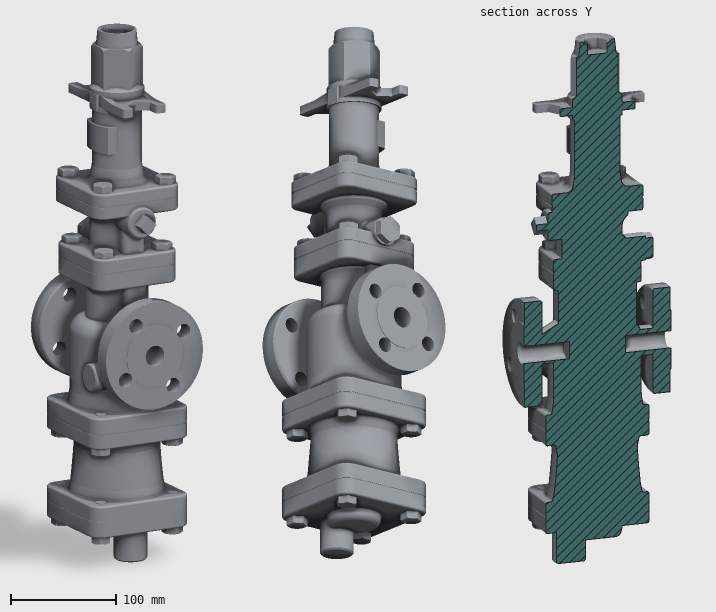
import cadquery as cq
import math


TOTAL_HEIGHT = 515.0

DRAIN_JOINT = (31.0, 47.0, 62.5)
BODY_JOINT = (118.0, 133.0, 149.0)
BONNET_JOINT = (271.0, 288.5, 302.5)
SPRING_JOINT = (342.0, 355.0, 367.0)
LARGE_JOINT_WIDTH = 105.0
BONNET_JOINT_WIDTH = 89.0
SPRING_JOINT_WIDTH = 92.5
JOINT_CORNER_RADIUS = 13.5
JOINT_EDGE_FILLET = 2.0
GASKET_THICKNESS = 1.5
DRAIN_GASKET_THICKNESS = 0.5
GASKET_INSET = 0.5

BOLT_FLATS = 17.5
BOLT_CORNERS = BOLT_FLATS / math.cos(math.pi / 6)
BOLT_CHAMFER_HEIGHT = 0.75
LARGE_HEAD_HEIGHT = 7.0
BONNET_HEAD_HEIGHT = 6.0
LARGE_BOLT_OFFSET = 38.5
BONNET_BOLT_OFFSET = 31.5
SPRING_BOLT_OFFSET = 34.0
STUD_DIAMETER = 10.0
STUD_HEIGHT = 1.0

DRAIN_DIAMETER = 32.0
DRAIN_X = 27.0
DRAIN_CHAMFER = 1.5
DOME_TOP_RADIUS = 26.5
DOME_TAPER_RADIUS = 25.0
DOME_TAPER_END = 27.0
DOME_FLAT_RADIUS = 19.0
DOME_BOTTOM = 20.5

FOOT_TAPER = 1.5
FOOT_FILLET = 2.0
CHAMBER_FOOT_HEIGHT = 10.0
BODY_FOOT_HEIGHT = 14.5

CHAMBER_BOTTOM_RADIUS = 44.5
CHAMBER_TOP_RADIUS = 41.0

BODY_RADIUS = 90.0 / 2
BODY_DOME_START = 219.0
NECK_RADIUS = 60.0 / 2
BODY_DOME_RADIUS = BODY_RADIUS - NECK_RADIUS
NECK_FLARE_RADIUS = 32.5
NECK_FLARE_START = 260.5
NECK_FLARE_END = 269.0

RIB_WIDTH = 23.0
RIB_EDGE_RADIUS = 5.0
NECK_RIB_REACH = 80.0 / 2
BONNET_RIB_REACH = 36.0

FLANGE_DIAMETER = 105.0
FLANGE_BACK_X = 56.0
FLANGE_FACE_X = 74.0
FLANGE_CHAMFER = 1.5
RAISED_FACE_DIAMETER = 60.0
OVERALL_WIDTH = 150.0
PORT_Z = 210.5
PORT_BORE = 20.0
PORT_BORE_DEPTH = 46.5
INLET_DIAMETER = 29.0
OUTLET_DIAMETER = 24.5
FLANGE_HOLE_DIAMETER = 14.5
FLANGE_HOLE_CIRCLE = 74.5
FLANGE_HOLE_ANGLE = 32.5
RISER_INNER = (27.0, 233.0)
RISER_OUTER = (54.5, 218.0)

PAD_DIAMETER = 27.0
PAD_X = 29.5
PAD_Z = 184.5
PAD_FACE_Y = -46.5
PAD_CHAMFER = 1.0

BONNET_RADIUS = 52.0 / 2
BONNET_FOOT_FLARE = 4.0
BONNET_BLEND_START = 328.0
BONNET_BLEND_END = 334.0
BONNET_BLEND_WIDTH = 1.5
BONNET_CONE_END = 339.5
BONNET_CONE_RADIUS = 32.0

SENSING_Z = 304.0
SENSING_DIAMETER = 27.0
SENSING_FOOT_DIAMETER = 32.0
SENSING_FOOT_X = 29.5
SENSING_CAP_X = 49.0
SENSING_END_X = 56.5
SENSING_CAP_CHAMFER = 1.0

PLUG_Z = 335.5
PLUG_BOSS_DIAMETER = 30.5
PLUG_BOSS_END_X = 50.5
PLUG_BOSS_CHAMFER = 1.5
PLUG_END_X = 62.0
PLUG_DIAGONAL = 18.0

HOUSING_RADIUS = 48.0 / 2
HOUSING_FOOT_HEIGHT = 15.5
HOUSING_FOOT_FILLET = 6.0
PLATE_HALF_WIDTH = 21.0
PLATE_BACK_Y = -11.0
PLATE_SIDE_Y = -21.0
PLATE_FRONT_Y = -26.5
PLATE_BOTTOM = 398.5
PLATE_TOP = 425.0

COLLAR_RADIUS = 52.0 / 2
COLLAR_BOTTOM = 438.5
COLLAR_TOP = 459.0
COLLAR_CONE_TOP = 462.5
CAP_FLATS = 43.0
CAP_CORNERS = CAP_FLATS / math.cos(math.pi / 6)
CAP_TOP = 500.5
CAP_CHAMFER = 2.5
STUB_BASE_RADIUS = 20.0
STUB_TOP_RADIUS = 18.5
SOCKET_CORNERS = 26.0
SOCKET_DEPTH = 13.5
SOCKET_LEAD_IN_RADIUS = 16.5
SOCKET_LEAD_IN_DEPTH = 3.0

HANDLE_LENGTH = 111.0
HANDLE_WIDTH = 46.5
HANDLE_BOTTOM = 443.0
HANDLE_TOP = 451.0
HANDLE_CORNER_RADIUS = 2.5
NOTCH_HALF_WIDTH = 12.5
NOTCH_SHOULDER_X = 43.0
NOTCH_APEX_X = 34.5
RAMP_OUTER_X = 32.0
RAMP_INNER_X = 6.5
RAMP_INNER_Y = 17.0
RAMP_TOP = 455.0
KEY_WIDTH = 14.0
KEY_BOTTOM = 439.5


def revolve_z(outline):
    """Turn a closed half outline, drawn as radius and height, about the Z axis."""
    return outline.revolve(360, (0, 0, 0), (0, 1, 0))


def cylinder_z(radius, bottom, top):
    return cq.Workplane("XY").workplane(offset=bottom).circle(radius).extrude(top - bottom)


def plane_x(x, z):
    """Plane facing +X whose local axes are Y and Z."""
    return cq.Workplane(cq.Plane(origin=(x, 0, z), xDir=(0, 1, 0), normal=(1, 0, 0)))


def cylinder_x(diameter, x_start, x_end, z):
    return plane_x(x_start, z).circle(diameter / 2).extrude(x_end - x_start)


def square_plate(width, bottom, top):
    return (
        cq.Workplane("XY")
        .workplane(offset=bottom)
        .rect(width, width)
        .extrude(top - bottom)
        .edges("|Z")
        .fillet(JOINT_CORNER_RADIUS)
    )


def flange_joint(heights, width, gasket):
    """Two square flanges with a slightly recessed gasket between them."""
    bottom, middle, top = heights
    lower = square_plate(width, bottom, middle - gasket / 2)
    lower = lower.faces("<Z").edges().fillet(JOINT_EDGE_FILLET)
    upper = square_plate(width, middle + gasket / 2, top)
    upper = upper.faces(">Z").edges().fillet(JOINT_EDGE_FILLET)
    seal = square_plate(width - 2 * GASKET_INSET, middle - gasket, middle + gasket)
    return lower.union(upper).union(seal)


def bolt_head(height):
    """Hexagon head standing on Z = 0 with its outer corners chamfered."""
    hexagon = cq.Workplane("XY").polygon(6, BOLT_CORNERS).extrude(height)
    turned = (
        cq.Workplane("XY")
        .circle(BOLT_CORNERS / 2)
        .extrude(height)
        .faces(">Z")
        .chamfer(BOLT_CHAMFER_HEIGHT, (BOLT_CORNERS - BOLT_FLATS) / 2)
    )
    return hexagon.intersect(turned)


def bolt_circle(offset, seat_z, height, upward):
    """Four heads on a square pattern, each turned a quarter from the one before."""
    head = bolt_head(height)
    if not upward:
        head = head.mirror("XY")
    first = head.translate((offset, offset, seat_z))
    heads = first
    for quarter in range(1, 4):
        heads = heads.union(first.rotate((0, 0, 0), (0, 0, 1), 90 * quarter))
    return heads


def stud_ends(offset, top):
    return (
        cq.Workplane("XY")
        .workplane(offset=top - STUD_HEIGHT)
        .rect(2 * offset, 2 * offset, forConstruction=True)
        .vertices()
        .circle(STUD_DIAMETER / 2)
        .extrude(2 * STUD_HEIGHT)
    )


def rib(reach, barrel_radius, bottom, top):
    """Upright rib from the axis to X = reach, rounded outside and filleted to the barrel."""
    half = RIB_WIDTH / 2
    round_radius = RIB_EDGE_RADIUS
    centre_y = half + round_radius
    centre_x = math.sqrt((barrel_radius + round_radius) ** 2 - centre_y**2)
    scale = barrel_radius / (barrel_radius + round_radius)
    touch_x = centre_x * scale
    touch_y = centre_y * scale
    return (
        cq.Workplane("XY")
        .workplane(offset=bottom)
        .moveTo(0, -touch_y)
        .lineTo(touch_x, -touch_y)
        .radiusArc((centre_x, -half), round_radius)
        .lineTo(reach - round_radius, -half)
        .radiusArc((reach, -half + round_radius), -round_radius)
        .lineTo(reach, half - round_radius)
        .radiusArc((reach - round_radius, half), -round_radius)
        .lineTo(centre_x, half)
        .radiusArc((touch_x, touch_y), round_radius)
        .lineTo(0, touch_y)
        .close()
        .extrude(top - bottom)
    )


def drain_outlet():
    joint_bottom = DRAIN_JOINT[0]
    dome = revolve_z(
        cq.Workplane("XZ")
        .moveTo(0, joint_bottom)
        .lineTo(DOME_TOP_RADIUS, joint_bottom)
        .lineTo(DOME_TAPER_RADIUS, DOME_TAPER_END)
        .radiusArc((DOME_FLAT_RADIUS, DOME_BOTTOM), DOME_TAPER_END - DOME_BOTTOM)
        .lineTo(0, DOME_BOTTOM)
        .close()
    )
    pipe = cylinder_z(DRAIN_DIAMETER / 2, 0, joint_bottom).faces("<Z").chamfer(DRAIN_CHAMFER)
    return dome.union(pipe.translate((DRAIN_X, 0, 0)))


def trap_chamber():
    bottom = DRAIN_JOINT[2]
    top = BODY_JOINT[0]
    lower_taper = CHAMBER_BOTTOM_RADIUS + FOOT_TAPER
    upper_taper = CHAMBER_TOP_RADIUS + FOOT_TAPER
    return revolve_z(
        cq.Workplane("XZ")
        .moveTo(0, bottom)
        .lineTo(lower_taper + FOOT_FILLET, bottom)
        .radiusArc((lower_taper, bottom + FOOT_FILLET), FOOT_FILLET)
        .lineTo(CHAMBER_BOTTOM_RADIUS, bottom + CHAMBER_FOOT_HEIGHT)
        .lineTo(CHAMBER_TOP_RADIUS, top - CHAMBER_FOOT_HEIGHT)
        .lineTo(upper_taper, top - FOOT_FILLET)
        .radiusArc((upper_taper + FOOT_FILLET, top), FOOT_FILLET)
        .lineTo(0, top)
        .close()
    )


def main_body():
    bottom = BODY_JOINT[2]
    taper_radius = BODY_RADIUS + FOOT_TAPER
    flare_width = NECK_FLARE_RADIUS - NECK_RADIUS
    flare_height = NECK_FLARE_END - NECK_FLARE_START
    flare_arc = (flare_height**2 + flare_width**2) / (2 * flare_width)
    shell = revolve_z(
        cq.Workplane("XZ")
        .moveTo(0, bottom)
        .lineTo(taper_radius + FOOT_FILLET, bottom)
        .radiusArc((taper_radius, bottom + FOOT_FILLET), FOOT_FILLET)
        .lineTo(BODY_RADIUS, bottom + BODY_FOOT_HEIGHT)
        .lineTo(BODY_RADIUS, BODY_DOME_START)
        .radiusArc((NECK_RADIUS, BODY_DOME_START + BODY_DOME_RADIUS), -BODY_DOME_RADIUS)
        .lineTo(NECK_RADIUS, NECK_FLARE_START)
        .radiusArc((NECK_FLARE_RADIUS, NECK_FLARE_END), flare_arc)
        .lineTo(NECK_FLARE_RADIUS, BONNET_JOINT[0])
        .lineTo(0, BONNET_JOINT[0])
        .close()
    )
    pad = (
        cq.Workplane("XZ", origin=(PAD_X, 0, PAD_Z))
        .circle(PAD_DIAMETER / 2)
        .extrude(-PAD_FACE_Y)
        .faces("<Y")
        .chamfer(PAD_CHAMFER)
    )
    neck_rib = rib(NECK_RIB_REACH, NECK_RADIUS, BODY_DOME_START, BONNET_JOINT[0])
    return shell.union(pad).union(neck_rib).union(neck_rib.mirror("YZ"))


def side_flange(side):
    disc = cylinder_x(FLANGE_DIAMETER, FLANGE_BACK_X, FLANGE_FACE_X, PORT_Z)
    disc = disc.faces("<X").chamfer(FLANGE_CHAMFER)
    face = cylinder_x(RAISED_FACE_DIAMETER, FLANGE_BACK_X, OVERALL_WIDTH / 2, PORT_Z)
    holes = (
        plane_x(FLANGE_BACK_X, PORT_Z)
        .polarArray(FLANGE_HOLE_CIRCLE / 2, FLANGE_HOLE_ANGLE, 360, 4)
        .circle(FLANGE_HOLE_DIAMETER / 2)
        .extrude(FLANGE_FACE_X - FLANGE_BACK_X)
    )
    flange = disc.union(face).cut(holes)
    return flange if side > 0 else flange.mirror("YZ")


def outlet_riser():
    """Slanted pipe from the outlet flange up to the shoulder of the body."""
    run = RISER_OUTER[0] - RISER_INNER[0]
    drop = RISER_OUTER[1] - RISER_INNER[1]
    start = cq.Plane(origin=(RISER_INNER[0], 0, RISER_INNER[1]), xDir=(0, 1, 0), normal=(run, 0, drop))
    return cq.Workplane(start).circle(OUTLET_DIAMETER / 2).extrude(math.hypot(run, drop))


def port_bore(side):
    outer = OVERALL_WIDTH / 2
    bore = cylinder_x(PORT_BORE, outer - PORT_BORE_DEPTH, outer, PORT_Z)
    return bore if side > 0 else bore.mirror("YZ")


def bonnet():
    bottom = BONNET_JOINT[2]
    top = SPRING_JOINT[0]
    blend_height = BONNET_BLEND_END - BONNET_BLEND_START
    blend_arc = (blend_height**2 + BONNET_BLEND_WIDTH**2) / (2 * BONNET_BLEND_WIDTH)
    barrel = revolve_z(
        cq.Workplane("XZ")
        .moveTo(0, bottom)
        .lineTo(BONNET_RADIUS + BONNET_FOOT_FLARE, bottom)
        .radiusArc((BONNET_RADIUS, bottom + BONNET_FOOT_FLARE), BONNET_FOOT_FLARE)
        .lineTo(BONNET_RADIUS, BONNET_BLEND_START)
        .radiusArc((BONNET_RADIUS + BONNET_BLEND_WIDTH, BONNET_BLEND_END), blend_arc)
        .lineTo(BONNET_CONE_RADIUS, BONNET_CONE_END)
        .lineTo(BONNET_CONE_RADIUS, top)
        .lineTo(0, top)
        .close()
    )
    return barrel.union(rib(BONNET_RIB_REACH, BONNET_RADIUS, bottom, PLUG_Z))


def sensing_boss():
    barrel = cylinder_x(SENSING_DIAMETER, -SENSING_CAP_X, 0, SENSING_Z)
    foot = cylinder_x(SENSING_FOOT_DIAMETER, -SENSING_FOOT_X, 0, SENSING_Z)
    foot = foot.faces("<X").chamfer((SENSING_FOOT_DIAMETER - SENSING_DIAMETER) / 2)
    length = SENSING_END_X - SENSING_CAP_X
    cap = (
        plane_x(-SENSING_END_X, SENSING_Z)
        .transformed(rotate=(0, 0, 90))
        .polygon(6, SENSING_DIAMETER)
        .extrude(length)
    )
    turned = cylinder_x(SENSING_DIAMETER, -SENSING_END_X, -SENSING_CAP_X, SENSING_Z)
    turned = turned.faces("<X").chamfer(SENSING_CAP_CHAMFER)
    return barrel.union(foot).union(cap.intersect(turned))


def plug_boss():
    boss = cylinder_x(PLUG_BOSS_DIAMETER, 0, PLUG_BOSS_END_X, PLUG_Z)
    boss = boss.faces(">X").chamfer(PLUG_BOSS_CHAMFER)
    plug = plane_x(0, PLUG_Z).polygon(4, PLUG_DIAGONAL).extrude(PLUG_END_X)
    return boss.union(plug)


def spring_housing():
    bottom = SPRING_JOINT[2]
    taper_radius = HOUSING_RADIUS + FOOT_TAPER
    return revolve_z(
        cq.Workplane("XZ")
        .moveTo(0, bottom)
        .lineTo(taper_radius + HOUSING_FOOT_FILLET, bottom)
        .radiusArc((taper_radius, bottom + HOUSING_FOOT_FILLET), HOUSING_FOOT_FILLET)
        .lineTo(HOUSING_RADIUS, bottom + HOUSING_FOOT_HEIGHT)
        .lineTo(HOUSING_RADIUS, COLLAR_BOTTOM)
        .lineTo(0, COLLAR_BOTTOM)
        .close()
    )


def name_plate():
    return (
        cq.Workplane("XY")
        .workplane(offset=PLATE_BOTTOM)
        .moveTo(-PLATE_HALF_WIDTH, PLATE_BACK_Y)
        .lineTo(-PLATE_HALF_WIDTH, PLATE_SIDE_Y)
        .threePointArc((0, PLATE_FRONT_Y), (PLATE_HALF_WIDTH, PLATE_SIDE_Y))
        .lineTo(PLATE_HALF_WIDTH, PLATE_BACK_Y)
        .close()
        .extrude(PLATE_TOP - PLATE_BOTTOM)
    )


def handle():
    plate = (
        cq.Workplane("XY")
        .workplane(offset=HANDLE_BOTTOM)
        .rect(HANDLE_LENGTH, HANDLE_WIDTH)
        .extrude(HANDLE_TOP - HANDLE_BOTTOM)
    )
    for side in (-1, 1):
        end = side * HANDLE_LENGTH / 2
        shoulder = side * NOTCH_SHOULDER_X
        notch = (
            cq.Workplane("XY")
            .workplane(offset=HANDLE_BOTTOM)
            .moveTo(end, -NOTCH_HALF_WIDTH)
            .lineTo(shoulder, -NOTCH_HALF_WIDTH)
            .lineTo(side * NOTCH_APEX_X, 0)
            .lineTo(shoulder, NOTCH_HALF_WIDTH)
            .lineTo(end, NOTCH_HALF_WIDTH)
            .close()
            .extrude(HANDLE_TOP - HANDLE_BOTTOM)
        )
        plate = plate.cut(notch)
    return plate.faces("<X or >X").edges("|Z").fillet(HANDLE_CORNER_RADIUS)


def handle_ramps():
    """Ramps along both long edges of the handle, rising towards the collar."""
    ramps = (
        cq.Workplane("XZ", origin=(0, HANDLE_WIDTH / 2, 0))
        .moveTo(-RAMP_OUTER_X, HANDLE_BOTTOM)
        .lineTo(-RAMP_OUTER_X, HANDLE_TOP)
        .lineTo(-RAMP_INNER_X, RAMP_TOP)
        .lineTo(RAMP_INNER_X, RAMP_TOP)
        .lineTo(RAMP_OUTER_X, HANDLE_TOP)
        .lineTo(RAMP_OUTER_X, HANDLE_BOTTOM)
        .close()
        .extrude(HANDLE_WIDTH / 2 - RAMP_INNER_Y)
    )
    return ramps.union(ramps.mirror("XZ"))


def collar():
    """Coned ring, flattened flush with the handle edges except at a key on each side."""
    ring = revolve_z(
        cq.Workplane("XZ")
        .moveTo(0, COLLAR_BOTTOM)
        .lineTo(COLLAR_RADIUS, COLLAR_BOTTOM)
        .lineTo(COLLAR_RADIUS, COLLAR_TOP)
        .lineTo(CAP_FLATS / 2, COLLAR_CONE_TOP)
        .lineTo(0, COLLAR_CONE_TOP)
        .close()
    )
    band = cylinder_z(COLLAR_RADIUS, HANDLE_BOTTOM, RAMP_TOP)
    kept = (
        cq.Workplane("XY")
        .workplane(offset=HANDLE_BOTTOM)
        .rect(2 * COLLAR_RADIUS, HANDLE_WIDTH)
        .extrude(RAMP_TOP - HANDLE_BOTTOM)
    )
    keys = (
        cq.Workplane("XY")
        .workplane(offset=KEY_BOTTOM)
        .rect(KEY_WIDTH, 2 * COLLAR_RADIUS)
        .extrude(RAMP_TOP - KEY_BOTTOM)
    )
    return ring.cut(band.cut(kept)).union(keys)


def hexagon_cap():
    hexagon = (
        cq.Workplane("XY")
        .workplane(offset=COLLAR_TOP)
        .polygon(6, CAP_CORNERS)
        .extrude(CAP_TOP - COLLAR_TOP)
    )
    turned = cylinder_z(CAP_CORNERS / 2, COLLAR_TOP, CAP_TOP).faces(">Z").chamfer(CAP_CHAMFER)
    stub = revolve_z(
        cq.Workplane("XZ")
        .moveTo(0, CAP_TOP)
        .lineTo(STUB_BASE_RADIUS, CAP_TOP)
        .lineTo(STUB_TOP_RADIUS, TOTAL_HEIGHT)
        .lineTo(0, TOTAL_HEIGHT)
        .close()
    )
    socket = (
        cq.Workplane("XY")
        .workplane(offset=TOTAL_HEIGHT - SOCKET_DEPTH)
        .polygon(6, SOCKET_CORNERS)
        .extrude(SOCKET_DEPTH)
    )
    lead_in = revolve_z(
        cq.Workplane("XZ")
        .moveTo(0, TOTAL_HEIGHT)
        .lineTo(SOCKET_LEAD_IN_RADIUS, TOTAL_HEIGHT)
        .lineTo(SOCKET_CORNERS / 2, TOTAL_HEIGHT - SOCKET_LEAD_IN_DEPTH)
        .lineTo(0, TOTAL_HEIGHT - SOCKET_LEAD_IN_DEPTH)
        .close()
    )
    return hexagon.intersect(turned).union(stub).cut(socket).cut(lead_in)


parts = [
    drain_outlet(),
    flange_joint(DRAIN_JOINT, LARGE_JOINT_WIDTH, DRAIN_GASKET_THICKNESS),
    bolt_circle(LARGE_BOLT_OFFSET, DRAIN_JOINT[0], LARGE_HEAD_HEIGHT, upward=False),
    stud_ends(LARGE_BOLT_OFFSET, DRAIN_JOINT[2]),
    trap_chamber(),
    flange_joint(BODY_JOINT, LARGE_JOINT_WIDTH, GASKET_THICKNESS),
    bolt_circle(LARGE_BOLT_OFFSET, BODY_JOINT[0], LARGE_HEAD_HEIGHT, upward=False),
    stud_ends(LARGE_BOLT_OFFSET, BODY_JOINT[2]),
    main_body(),
    cylinder_x(INLET_DIAMETER, -FLANGE_BACK_X, 0, PORT_Z),
    cylinder_x(OUTLET_DIAMETER, 0, FLANGE_BACK_X, PORT_Z),
    outlet_riser(),
    side_flange(-1),
    side_flange(1),
    flange_joint(BONNET_JOINT, BONNET_JOINT_WIDTH, GASKET_THICKNESS),
    bolt_circle(BONNET_BOLT_OFFSET, BONNET_JOINT[2], BONNET_HEAD_HEIGHT, upward=True),
    bonnet(),
    sensing_boss(),
    plug_boss(),
    flange_joint(SPRING_JOINT, SPRING_JOINT_WIDTH, GASKET_THICKNESS),
    bolt_circle(SPRING_BOLT_OFFSET, SPRING_JOINT[2], LARGE_HEAD_HEIGHT, upward=True),
    spring_housing(),
    name_plate(),
    handle(),
    handle_ramps(),
    collar(),
    hexagon_cap(),
]

result = parts[0]
for part in parts[1:]:
    result = result.union(part)
for direction in (-1, 1):
    result = result.cut(port_bore(direction))